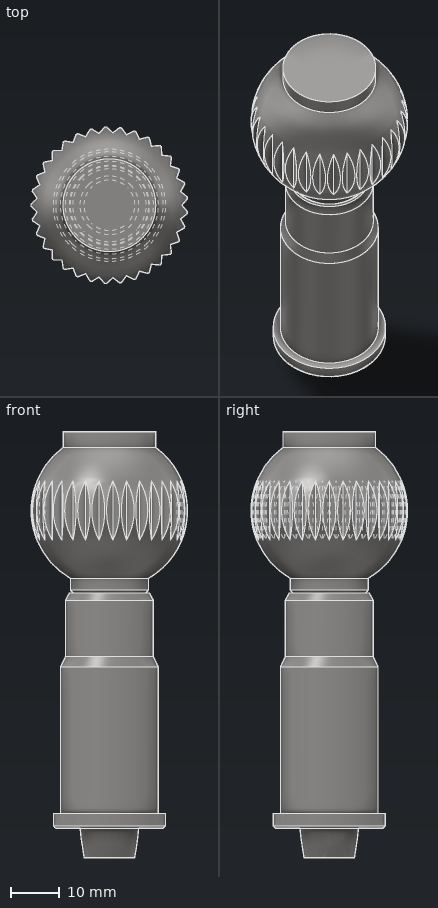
import cadquery as cq
import math

total_height = 87.0
nose_height = 6.0
flange_thickness = 3.05
body_shoulder_z = 39.0
upper_barrel_z = 41.1
stem_top_chamfer_z = 52.55
stem_top_z = 54.1
ball_center_z = 70.9

nose_tip_diameter = 10.35
nose_base_diameter = 12.0
nose_bulge = 0.1
flange_diameter = 23.0
flange_chamfer = 0.5
body_diameter = 20.0
upper_barrel_diameter = 18.0
stem_top_diameter = 16.35

ball_radius = 16.0
cap_diameter = 19.0
neck_diameter = 16.0
neck_chamfer = 0.5

groove_count = 33
groove_root_diameter = 29.7
groove_angle = 100.0
groove_overrun = 0.9


def ball_offset(radius):
    """Distance from the ball centre to the plane where its section has this radius."""
    return math.sqrt(ball_radius**2 - radius**2)


def make_stem():
    """Turned sleeve: nose, flange, body and upper barrel in one profile."""
    flange_top_z = nose_height + flange_thickness
    flange_radius = flange_diameter / 2
    nose_mid_radius = (nose_tip_diameter + nose_base_diameter) / 4 + nose_bulge
    profile = (
        cq.Workplane("XZ")
        .lineTo(nose_tip_diameter / 2, 0)
        .threePointArc((nose_mid_radius, nose_height / 2), (nose_base_diameter / 2, nose_height))
        .lineTo(flange_radius - flange_chamfer, nose_height)
        .lineTo(flange_radius, nose_height + flange_chamfer)
        .lineTo(flange_radius, flange_top_z)
        .lineTo(body_diameter / 2, flange_top_z)
        .lineTo(body_diameter / 2, body_shoulder_z)
        .lineTo(upper_barrel_diameter / 2, upper_barrel_z)
        .lineTo(upper_barrel_diameter / 2, stem_top_chamfer_z)
        .lineTo(stem_top_diameter / 2, stem_top_z)
        .lineTo(0, stem_top_z)
        .close()
    )
    return profile.revolve(360, (0, 0, 0), (0, 1, 0))


def make_knob_blank():
    """Neck, ball and flat cap in one profile, standing on top of the stem."""
    neck_radius = neck_diameter / 2
    cap_radius = cap_diameter / 2
    cap_base_z = ball_center_z + ball_offset(cap_radius)
    profile = (
        cq.Workplane("XZ")
        .moveTo(0, stem_top_z)
        .lineTo(neck_radius - neck_chamfer, stem_top_z)
        .lineTo(neck_radius, stem_top_z + neck_chamfer)
        .lineTo(neck_radius, ball_center_z - ball_offset(neck_radius))
        .threePointArc((ball_radius, ball_center_z), (cap_radius, cap_base_z))
        .lineTo(cap_radius, total_height)
        .lineTo(0, total_height)
        .close()
    )
    return profile.revolve(360, (0, 0, 0), (0, 1, 0))


def make_groove_cutter():
    """Upright V-prism on the +X side, long enough to run out of the ball at both ends."""
    groove_root_radius = groove_root_diameter / 2
    outer_radius = ball_radius + groove_overrun
    half_width = (outer_radius - groove_root_radius) * math.tan(math.radians(groove_angle / 2))
    half_length = ball_offset(groove_root_radius) + groove_overrun
    return (
        cq.Workplane("XY", origin=(0, 0, ball_center_z))
        .moveTo(groove_root_radius, 0)
        .lineTo(outer_radius, half_width)
        .lineTo(outer_radius, -half_width)
        .close()
        .extrude(half_length, both=True)
    )


def make_knob():
    """Ball knob with the knurling grooves cut one by one."""
    knob = make_knob_blank()
    cutter = make_groove_cutter()
    for index in range(groove_count):
        angle = index * 360 / groove_count
        knob = knob.cut(cutter.rotate((0, 0, 0), (0, 0, 1), angle))
    return knob.solids()


stem = make_stem()
knob = make_knob()

result = cq.Compound.makeCompound([stem.val(), knob.val()])